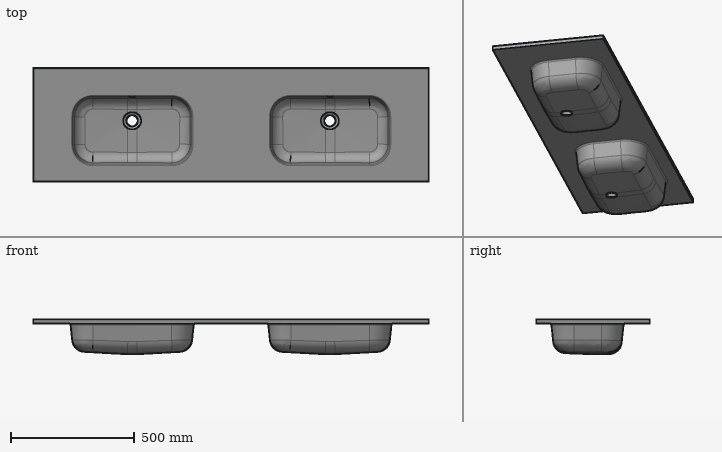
import cadquery as cq

length = 1605.0
depth = 460.0
slab_thickness = 18.0
slab_edge_round = 3.0

basin_spacing = 802.0
basin_y = -22.0
mouth_length = 486.0
mouth_width = 280.0
mouth_corner_radius = 83.0
mouth_edge_round = 3.0
basin_positions = [(-basin_spacing / 2, 0, 0), (basin_spacing / 2, 0, 0)]

wall = 10.0
wall_draft = 6.0
floor_edge_radius = 45.0
total_height = 143.0
collar_round = 6.0

strip_width = 39.0
strip_depth = total_height - wall
strip_front_rise = 8.0
wing_depth = 120.0

drain_y = 16.0
drain_diameter = 45.0
drain_rim_diameter = 75.0
drain_rim_depth = 8.0
drain_rim_overlap = 2.0
overflow_diameter = 22.0
overflow_depth = 39.0

clearance = 16.0

tolerance = 0.2


def strip_rise(y):
    """Height of the strip above its lowest point, a parabola centred on the drain."""
    front_y = basin_y - mouth_width / 2
    return strip_front_rise * ((y - drain_y) / (front_y - drain_y)) ** 2


def floor_section(y, strip_z, wing_z, half_length):
    """Closed XZ section of the space above the floor at one Y station."""
    half_strip = strip_width / 2
    return cq.Wire.makePolygon(
        [
            cq.Vector(-half_length, y, 0),
            cq.Vector(-half_length, y, wing_z),
            cq.Vector(-half_strip, y, strip_z),
            cq.Vector(half_strip, y, strip_z),
            cq.Vector(half_length, y, wing_z),
            cq.Vector(half_length, y, 0),
        ],
        close=True,
    )


def space_above_floor(offset):
    """Block whose underside is the dished floor, lowest at the drain."""
    half_length = mouth_length / 2 + offset
    half_width = mouth_width / 2 + offset
    lowest_z = -(strip_depth + offset)
    wing_z = -(wing_depth + offset)
    stations = [basin_y - half_width, drain_y, basin_y + half_width]
    sections = [floor_section(y, lowest_z + strip_rise(y), wing_z, half_length) for y in stations]
    return cq.Workplane(cq.Solid.makeLoft(sections))


def is_floor_rim(edge):
    """True for the edges where the floor meets the walls."""
    center = edge.Center()
    is_low = center.z < -wing_depth + clearance
    is_strip_side = abs(center.x) < strip_width and abs(center.y - basin_y) < mouth_width / 4
    return is_low and not is_strip_side


def basin_form(offset):
    """Basin cavity grown outward by offset: drafted walls and a rounded, dished floor."""
    mouth = (
        cq.Sketch()
        .rect(mouth_length + 2 * offset, mouth_width + 2 * offset)
        .vertices()
        .fillet(mouth_corner_radius + offset)
    )
    form = (
        cq.Workplane(origin=(0, basin_y, 0))
        .placeSketch(mouth)
        .extrude(-(total_height + clearance), taper=wall_draft)
        .intersect(space_above_floor(offset))
    )
    return form.edges().filter(is_floor_rim).fillet(floor_edge_radius + offset)


def is_collar(edge):
    """True for the edges where a basin meets the underside of the slab."""
    center = edge.Center()
    is_at_underside = abs(edge.BoundingBox().zmax + slab_thickness) < tolerance
    is_off_slab_ends = abs(center.x) < length / 2 - clearance
    is_off_slab_sides = abs(center.y - basin_y) < mouth_width / 2 + clearance
    return is_at_underside and is_off_slab_ends and is_off_slab_sides


def is_mouth(wire):
    """True for the basin mouths, False for the outline of the slab."""
    return wire.BoundingBox().xlen < length / 2


def drain():
    """Through hole with a conical rim that flares out to the floor."""
    throat = (
        cq.Workplane(origin=(0, drain_y, -total_height - clearance))
        .circle(drain_diameter / 2)
        .extrude(wall + 2 * clearance)
    )
    rim_bottom_z = -strip_depth + drain_rim_overlap - drain_rim_depth
    rim = cq.Solid.makeCone(
        drain_diameter / 2,
        drain_rim_diameter / 2,
        drain_rim_depth,
        pnt=cq.Vector(0, drain_y, rim_bottom_z),
    )
    return throat.union(cq.Workplane(rim))


def overflow():
    """Round hole through the back wall."""
    mouth_back_y = basin_y + mouth_width / 2
    return (
        cq.Workplane("XZ", origin=(0, mouth_back_y - clearance, -overflow_depth))
        .circle(overflow_diameter / 2)
        .extrude(-(wall + 2 * clearance))
    )


result = cq.Workplane().box(length, depth, slab_thickness, centered=(True, True, False))
result = result.translate((0, 0, -slab_thickness))
shell = basin_form(wall)
for position in basin_positions:
    result = result.union(shell.translate(position))
result = result.edges().filter(is_collar).fillet(collar_round)
result = result.faces(">Z").edges().fillet(slab_edge_round)

cavity = basin_form(0)
for position in basin_positions:
    result = result.cut(cavity.translate(position))
result = result.faces(">Z").wires().filter(is_mouth).fillet(mouth_edge_round)

holes = drain().union(overflow())
for position in basin_positions:
    result = result.cut(holes.translate(position))